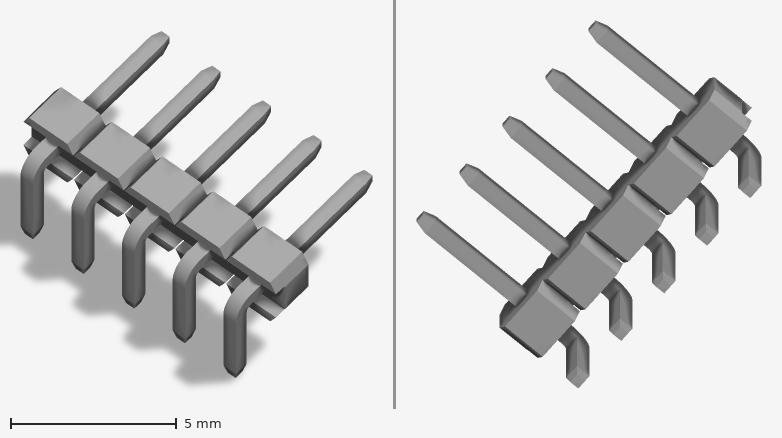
import cadquery as cq
import math


PIN_COUNT = 5
PITCH = 2.0
HOUSING_HEIGHT = 2.0
HOUSING_DEPTH = 1.5
CELL_FLAT = 1.5
CHAMFER_ANGLE = 60.0
CHANNEL_HEIGHT = 1.2
CHANNEL_DEPTH = 0.4

PIN_SIZE = 0.5
MATING_LENGTH = 4.0
BACK_OVERHANG = 1.0
BEND_OUTER_RADIUS = 0.7
TIP_LENGTH = 0.4
TIP_SIZE = 0.32

TOTAL_HEIGHT = 4.5

ROW_LENGTH = PIN_COUNT * PITCH
CHAMFER_WIDTH = (PITCH - CELL_FLAT) / 2
CHAMFER_HEIGHT = CHAMFER_WIDTH * math.tan(math.radians(CHAMFER_ANGLE))
TAIL_END_Z = HOUSING_HEIGHT / 2 - TOTAL_HEIGHT
TAIL_OUTER_Y = -HOUSING_DEPTH - BACK_OVERHANG
TAIL_AXIS_Y = TAIL_OUTER_Y + PIN_SIZE / 2
PIN_POSITIONS = [(i - (PIN_COUNT - 1) / 2) * PITCH for i in range(PIN_COUNT)]


def make_cell(x_center):
    """Octagonal prism of one cell, from the +Y face to the back."""
    side = PITCH / 2
    flat = CELL_FLAT / 2
    top = HOUSING_HEIGHT / 2
    shoulder = top - CHAMFER_HEIGHT
    outline = [
        (-flat, top),
        (flat, top),
        (side, shoulder),
        (side, -shoulder),
        (flat, -top),
        (-flat, -top),
        (-side, -shoulder),
        (-side, shoulder),
    ]
    return cq.Workplane("XZ").polyline(outline).close().extrude(HOUSING_DEPTH).translate((x_center, 0, 0))


def make_housing():
    """Joined cells with a channel along the whole back face."""
    housing = make_cell(PIN_POSITIONS[0])
    for x_center in PIN_POSITIONS[1:]:
        housing = housing.union(make_cell(x_center))
    channel = (
        cq.Workplane("XY")
        .box(ROW_LENGTH, CHANNEL_DEPTH, CHANNEL_HEIGHT)
        .translate((0, CHANNEL_DEPTH / 2 - HOUSING_DEPTH, 0))
    )
    return housing.cut(channel)


def make_tip(start_plane):
    """Square taper at a pin end, growing along the plane's normal."""
    return (
        cq.Workplane(start_plane)
        .rect(PIN_SIZE, PIN_SIZE)
        .workplane(offset=TIP_LENGTH)
        .rect(TIP_SIZE, TIP_SIZE)
        .loft(ruled=True)
    )


def make_pin():
    """One bent square pin, centred on X = 0."""
    bend_axis_radius = BEND_OUTER_RADIUS - PIN_SIZE / 2
    mating_shoulder_y = MATING_LENGTH - TIP_LENGTH
    tail_shoulder_z = TAIL_END_Z + TIP_LENGTH
    bend_start = (TAIL_AXIS_Y + bend_axis_radius, 0)
    bend_end = (TAIL_AXIS_Y, -bend_axis_radius)
    path = (
        cq.Workplane("YZ")
        .moveTo(mating_shoulder_y, 0)
        .lineTo(*bend_start)
        .tangentArcPoint(bend_end, relative=False)
        .lineTo(TAIL_AXIS_Y, tail_shoulder_z)
    )
    mating_end = cq.Plane(origin=(0, mating_shoulder_y, 0), xDir=(1, 0, 0), normal=(0, 1, 0))
    tail_end = cq.Plane(origin=(0, TAIL_AXIS_Y, tail_shoulder_z), xDir=(1, 0, 0), normal=(0, 0, -1))
    shank = cq.Workplane(mating_end).rect(PIN_SIZE, PIN_SIZE).sweep(path)
    return shank.union(make_tip(mating_end)).union(make_tip(tail_end))


result = make_housing()
pin = make_pin()
for pin_x in PIN_POSITIONS:
    result = result.union(pin.translate((pin_x, 0, 0)))